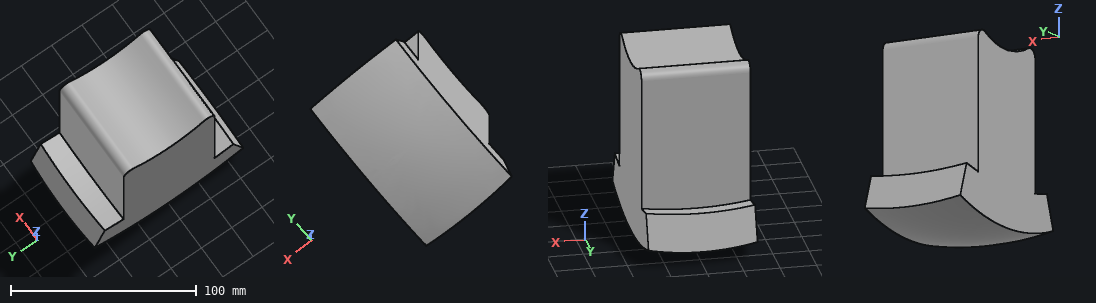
import cadquery as cq
import math

height = 107.7
stem_width = 60.0
shoe_width = 100.0
shoe_top_radius = 200.0
shoe_thickness = 23.6
saddle_radius = 50.0
lip_radius = 5.0

half_stem = stem_width / 2
lip_y = half_stem - lip_radius
lip_distance = saddle_radius + lip_radius
lip_z = -math.sqrt(lip_distance**2 - lip_y**2)
lip_top_z = lip_z + lip_radius
sole_radius = height - lip_top_z
shoe_top_centre_z = shoe_top_radius + shoe_thickness - sole_radius
shoe_half_angle = math.asin(shoe_width / 2 / sole_radius)


def lip_point(side, angle):
    """Point on a lip; angle is measured from +Z towards the stem side."""
    y = lip_y + lip_radius * math.sin(angle)
    return (side * y, lip_z + lip_radius * math.cos(angle))


def make_stem():
    """Stem with a cylindrical saddle, running down into the shoe."""
    contact = -math.asin(lip_y / lip_distance)
    lip_end = math.pi / 2
    lip_middle = (contact + lip_end) / 2
    foot_z = -sole_radius + shoe_thickness / 2
    return (
        cq.Workplane("YZ")
        .moveTo(-half_stem, foot_z)
        .lineTo(*lip_point(-1, lip_end))
        .threePointArc(lip_point(-1, lip_middle), lip_point(-1, contact))
        .threePointArc((0, -saddle_radius), lip_point(1, contact))
        .threePointArc(lip_point(1, lip_middle), lip_point(1, lip_end))
        .lineTo(half_stem, foot_z)
        .close()
        .extrude(half_stem, both=True)
    )


def make_shoe():
    """Wedge with radial end faces, cut from the solid between the two spheres."""
    sole_ball = cq.Workplane("XY").sphere(sole_radius)
    top_ball = cq.Workplane("XY", origin=(0, 0, shoe_top_centre_z)).sphere(shoe_top_radius)
    wedge_overreach = 1.1
    wedge_depth = wedge_overreach * sole_radius
    wedge_half_width = wedge_depth * math.tan(shoe_half_angle)
    wedge = (
        cq.Workplane("YZ")
        .polyline([(0, 0), (-wedge_half_width, -wedge_depth), (wedge_half_width, -wedge_depth)])
        .close()
        .extrude(half_stem, both=True)
    )
    return wedge.intersect(sole_ball).cut(top_ball)


result = make_stem().union(make_shoe())